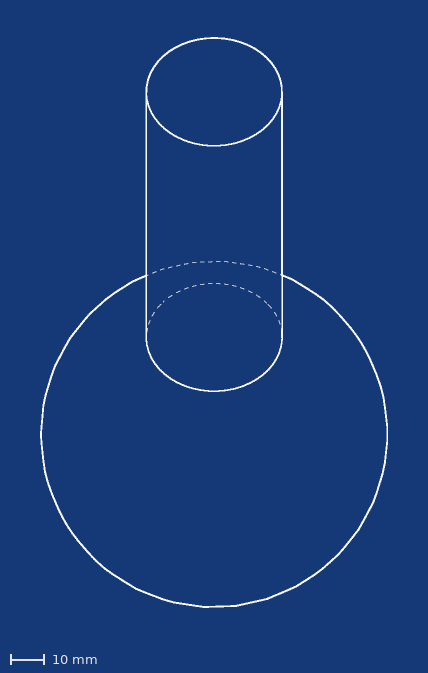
import cadquery as cq

ball_diameter = 102.07
rod_diameter = 40.0
overall_height = 216.89

ball_radius = ball_diameter / 2
rod_top = overall_height - ball_radius


def make_ball():
    """Plain round ball, with its poles on the Y axis."""
    return cq.Workplane("XZ").sphere(ball_radius)


def make_rod(seat):
    """Upright round rod whose hollowed foot rests on the seat's surface."""
    full_rod = cq.Workplane("XY").circle(rod_diameter / 2).extrude(rod_top)
    return full_rod.cut(seat)


ball = make_ball()
rod = make_rod(ball)

result = cq.Compound.makeCompound([ball.val(), rod.solids().val()])